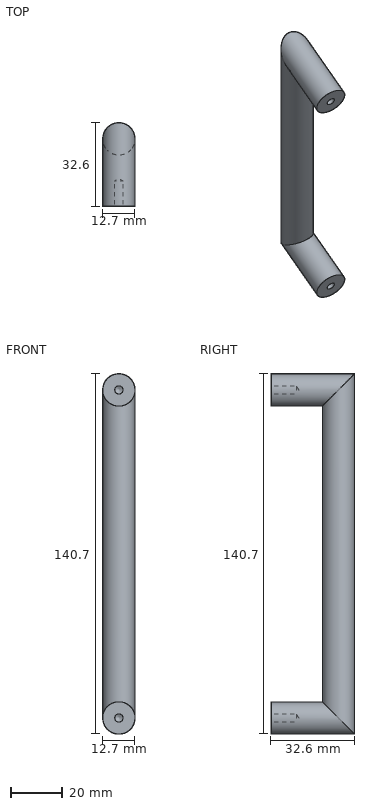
import cadquery as cq
import math

height = 140.7
depth = 32.6
bar_diameter = 12.7
hole_diameter = 3.2
hole_depth = 9.8
drill_point_angle = 118.0

bar_radius = bar_diameter / 2
leg_center_z = height / 2 - bar_radius
foot_y = -depth / 2
grip_center_y = depth / 2 - bar_radius


def mitred_bar():
    """Round bar swept along a C-shaped path with sharp mitred corners."""
    path = cq.Workplane("YZ").polyline([
        (foot_y, leg_center_z),
        (grip_center_y, leg_center_z),
        (grip_center_y, -leg_center_z),
        (foot_y, -leg_center_z),
    ])
    foot = cq.Workplane("XZ", origin=(0, foot_y, leg_center_z)).circle(bar_radius)
    return foot.sweep(path, transition="right")


def mounting_hole(center_z):
    """Drilled blind hole with a conical tip, running from the foot face along +Y."""
    hole_radius = hole_diameter / 2
    tip_length = hole_radius / math.tan(math.radians(drill_point_angle / 2))
    half_profile = cq.Workplane("XY", origin=(0, foot_y, center_z)).polyline([
        (0, 0),
        (hole_radius, 0),
        (hole_radius, hole_depth),
        (0, hole_depth + tip_length),
    ]).close()
    return half_profile.revolve(360, (0, 0), (0, 1))


result = mitred_bar()
for center_z in (leg_center_z, -leg_center_z):
    result = result.cut(mounting_hole(center_z))